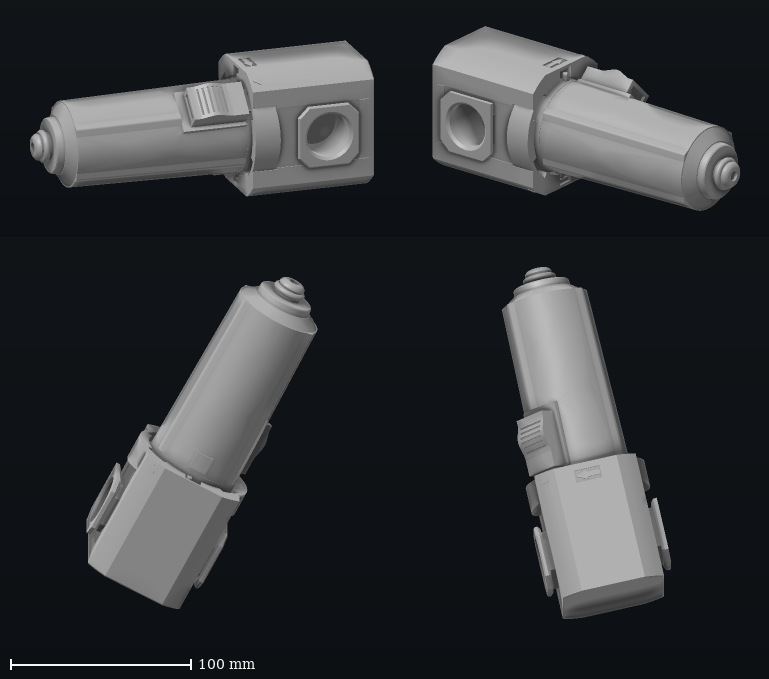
import cadquery as cq
import math


COVER_HALF_WIDTH = 28.8
COVER_HALF_HEIGHT = 36.0
COVER_CORNER_RADIUS = 40.2
COVER_LENGTH = 71.5
COVER_WALL = 1.7
COVER_BACK_CHAMFER = 0.8
CUTOUT_HALF_HEIGHT = 17.5
CUTOUT_END = 62.7
SLIT_END = 68.0
SLIT_WIDTH = 0.5
HEAD_PAD_X = 28.2

SKIRT_RADIUS = 33.8
SKIRT_HALF_HEIGHT = 18.5
SKIRT_LENGTH = 14.7
SKIRT_INNER_LENGTH = 13.3

BADGE_LENGTH = 14.7
BADGE_WIDTH = 6.9
BADGE_Y = 7.0
BADGE_DEPTH = 0.8
ARROW_LENGTH = 13.7
ARROW_HEAD_LENGTH = 6.5
ARROW_HEAD_HALF_WIDTH = 2.7
ARROW_SHAFT_HALF_WIDTH = 1.3
MARKER_WIDTH = 5.1
MARKER_BASE_Y = 6.1
MARKER_TIP_Y = 2.0
MARKER_HEIGHT = 0.4
MARKER_ANGLE = 54

PORT_Y = 42.7
PORT_RADIUS = 12.5
PORT_DEPTH = 25.7
PORT_CHAMFER = 1.5
FLANGE_FACE_X = 35.0
FLANGE_HALF_SIZE = 17.7
FLANGE_CORNER = 6.0
FLANGE_THICKNESS = 3.6
FLANGE_BACK_BEVEL = 1.5
FLANGE_OUTER_BEVEL = 0.8
NECK_HALF_SIZE = 14.9
NECK_CORNER = 6.3

MOUTH_RADIUS = 28.0
MOUTH_DEPTH = 5.7
POCKET_RADIUS = 31.3
POCKET_START_ANGLE = 23
POCKET_END_ANGLE = 54
NOTCH_HALF_WIDTH = 5.0
NOTCH_TOP = 32.5
NOTCH_DEPTH = 3.8
NOTCH_STEP_TOP = 34.3
NOTCH_STEP_DEPTH = 2.0

COLLAR_RADIUS = 26.1
BOWL_START_Y = -2.1
BOWL_END_Y = -100.9
BOWL_START_RADIUS = 26.0
BOWL_END_RADIUS = 24.2
SIDE_PANEL_ANGLE = 26
TOP_PANEL_ANGLE = 44
CORNER_RISE = 1.5
CORNER_FILLET = 1.5
CONE_START_RADIUS = 23.5
CONE_END_RADIUS = 16.8
CONE_END_Y = -105.8
TIP_START_RADIUS = 16.2
TIP_END_RADIUS = 15.6
TIP_CHAMFER = 0.5
BOWL_TIP_Y = -110.2
KEY_X = 2.3
KEY_WIDTH = 2.7
KEY_TOP = 30.9
KEY_THICKNESS = 2.9
RIB_HALF_WIDTH = 5.0
RIB_RADIUS = 26.7
RIB_START_Y = -4.2
RIB_END_Y = -14.3

BUTTON_ANGLE = 45
SEAT_X = 24.6
SEAT_HALF_WIDTH = 12.4
SEAT_HEIGHT = 2.7
SEAT_END_Y = -39.5
BUTTON_HALF_WIDTH = 10.1
BUTTON_TOP = 33.8
BUTTON_START_Y = -2.7
BUTTON_END_Y = -34.7
HUMP_TOP = 36.6
HUMP_START_Y = -11.8
HUMP_END_Y = -32.5
HUMP_STEPS = 8
GROOVE_COUNT = 6
GROOVE_PITCH = 2.9
GROOVE_WIDTH = 1.1
GROOVE_DEPTH = 1.0
GROOVE_HALF_LENGTH = 8.0
TONGUE_TOP = 30.5
TONGUE_HALF_WIDTH = 6.9
WINDOW_X = 29.7
WINDOW_HEIGHT = 3.8
WINDOW_LENGTH = 14.9
WINDOW_DEPTH = 2.0

DRAIN_END_Y = -119.2
DRAIN_STEM_RADIUS = 7.8
DRAIN_BEAD_RADIUS = 9.3
DRAIN_BEAD_START_Y = -111.8
DRAIN_BEAD_END_Y = -115.2
DRAIN_LIP_RADIUS = 7.6
DRAIN_LIP_Y = -116.5
DRAIN_DOME_RADIUS = 6.5
DRAIN_DOME_Y = -118.5
DRAIN_GROOVE_RADIUS = 7.0
DRAIN_END_RADIUS = 5.0
DRAIN_HOLE_RADIUS = 2.9
DRAIN_HOLE_DEPTH = 2.0

SIDES = (-1, 1)


def polar(radius, degrees):
    """Point at a distance and an angle from the origin of a sketch."""
    angle = math.radians(degrees)
    return (radius * math.cos(angle), radius * math.sin(angle))


def box(x_range, y_range, z_range):
    """Box between two limits along each axis."""
    sizes = [high - low for low, high in (x_range, y_range, z_range)]
    return cq.Workplane("XY").box(*sizes, centered=False).translate((x_range[0], y_range[0], z_range[0]))


def cylinder_y(radius, y_low, y_high):
    """Cylinder on the bowl axis."""
    return cq.Workplane("XZ", origin=(0, y_high, 0)).circle(radius).extrude(y_high - y_low)


def half_turn(body):
    """Copy turned by 180 degrees about the bowl axis."""
    return body.rotate((0, 0, 0), (0, 1, 0), 180)


def swing(body, angle):
    """Turn a body about the bowl axis from +X towards +Z."""
    return body.rotate((0, 0, 0), (0, 1, 0), -angle)


def rounded_block(inset, y_high):
    """Rectangular block whose corners follow a cylinder on the bowl axis."""
    half_width = COVER_HALF_WIDTH - inset
    half_height = COVER_HALF_HEIGHT - inset
    block = box((-half_width, half_width), (0, y_high), (-half_height, half_height))
    return block.intersect(cylinder_y(COVER_CORNER_RADIUS - inset, 0, y_high))


def skirt_block():
    """Part of the skirt cylinder between the cutout edges, with sloping back faces."""
    outline = [(0, 0), (SKIRT_RADIUS, 0), (SKIRT_RADIUS, SKIRT_LENGTH)]
    outline += [(COVER_HALF_WIDTH, SKIRT_INNER_LENGTH), (0, SKIRT_INNER_LENGTH)]
    wedge = cq.Workplane("XY").polyline(outline).close().extrude(SKIRT_HALF_HEIGHT, both=True)
    wedge = wedge.union(wedge.mirror("YZ"))
    return wedge.intersect(cylinder_y(SKIRT_RADIUS, 0, SKIRT_LENGTH))


def octagon(half_size, corner, start_x, length):
    """Square prism along X about the port axis, with its four corner edges cut off."""
    prism = cq.Workplane("YZ", origin=(start_x, PORT_Y, 0)).rect(2 * half_size, 2 * half_size).extrude(length)
    return prism.edges("|X").chamfer(corner)



def arrow_badge():
    """Pocket on the top face, less the flow arrow that stays standing in it."""
    floor = cq.Workplane("XY", origin=(0, BADGE_Y, COVER_HALF_HEIGHT - BADGE_DEPTH))
    tip_x = ARROW_LENGTH / 2
    barb_x = tip_x - ARROW_HEAD_LENGTH
    upper = [(-tip_x, ARROW_SHAFT_HALF_WIDTH), (barb_x, ARROW_SHAFT_HALF_WIDTH)]
    upper.append((barb_x, ARROW_HEAD_HALF_WIDTH))
    lower = [(x, -y) for x, y in reversed(upper)]
    arrow = floor.polyline(upper + [(tip_x, 0)] + lower).close().extrude(BADGE_DEPTH)
    return floor.rect(BADGE_LENGTH, BADGE_WIDTH).extrude(BADGE_DEPTH).cut(arrow)


def corner_marker():
    """Raised triangle on the rounded corner, pointing at the bowl."""
    half = MARKER_WIDTH / 2
    triangle = [(MARKER_BASE_Y, -half), (MARKER_BASE_Y, half), (MARKER_TIP_Y, 0)]
    base_x = COVER_CORNER_RADIUS - COVER_WALL / 2
    marker = cq.Workplane("YZ", origin=(base_x, 0, 0)).polyline(triangle).close()
    return swing(marker.extrude(COVER_WALL / 2 + MARKER_HEIGHT), MARKER_ANGLE)


def make_cover():
    cover = rounded_block(0, COVER_LENGTH).faces(">Y").edges().chamfer(COVER_BACK_CHAMFER)
    cover = cover.cut(rounded_block(COVER_WALL, COVER_LENGTH - COVER_WALL))
    full_width = (-COVER_HALF_WIDTH, COVER_HALF_WIDTH)
    cover = cover.cut(box(full_width, (0, CUTOUT_END), (-CUTOUT_HALF_HEIGHT, CUTOUT_HALF_HEIGHT)))
    cover = cover.cut(box(full_width, (0, SKIRT_LENGTH), (-SKIRT_HALF_HEIGHT, SKIRT_HALF_HEIGHT)))
    for side in SIDES:
        slit_z = side * (CUTOUT_HALF_HEIGHT - SLIT_WIDTH / 2)
        slit_range = (slit_z - SLIT_WIDTH / 2, slit_z + SLIT_WIDTH / 2)
        cover = cover.cut(box(full_width, (CUTOUT_END, SLIT_END), slit_range))
    marker = corner_marker()
    return cover.union(marker).union(half_turn(marker)).cut(arrow_badge())



def left_flange():
    """Flange on the -X side; its upper corner towards the mouth stays square."""
    flange = cq.Workplane("YZ", origin=(-FLANGE_FACE_X, PORT_Y, 0))
    flange = flange.rect(2 * FLANGE_HALF_SIZE, 2 * FLANGE_HALF_SIZE).extrude(FLANGE_THICKNESS)
    flange = flange.edges("|X").edges("<Z or >Y").chamfer(FLANGE_CORNER)
    return flange.faces(">X").edges().chamfer(FLANGE_BACK_BEVEL)


def right_flange():
    """Flange on the +X side, with all four corners cut off and both rims bevelled."""
    flange = octagon(FLANGE_HALF_SIZE, FLANGE_CORNER, FLANGE_FACE_X - FLANGE_THICKNESS, FLANGE_THICKNESS)
    flange = flange.faces("<X").edges().chamfer(FLANGE_BACK_BEVEL)
    return flange.faces(">X").edges().chamfer(FLANGE_OUTER_BEVEL)


def port_bore():
    """Blind port on the -X side with a chamfered entry."""
    floor_x = PORT_DEPTH - FLANGE_FACE_X
    profile = [(floor_x, 0), (floor_x, PORT_RADIUS), (PORT_CHAMFER - FLANGE_FACE_X, PORT_RADIUS)]
    profile += [(-FLANGE_FACE_X, PORT_RADIUS + PORT_CHAMFER), (-FLANGE_FACE_X, 0)]
    bore = cq.Workplane("XY").polyline(profile).close().revolve(360, (0, 0, 0), (1, 0, 0))
    return bore.translate((0, PORT_Y, 0))


def sector(radius, start_angle, end_angle):
    """Pie slice of the mouth recess between two angles from +X."""
    middle_angle = (start_angle + end_angle) / 2
    points = [polar(radius, angle) for angle in (start_angle, middle_angle, end_angle)]
    outline = cq.Workplane("XZ", origin=(0, MOUTH_DEPTH, 0)).lineTo(*points[0])
    return outline.threePointArc(points[1], points[2]).close().extrude(MOUTH_DEPTH)


def mouth_recess():
    """Round recess for the bowl collar with four bayonet pockets and two stepped notches."""
    recess = cylinder_y(MOUTH_RADIUS, 0, MOUTH_DEPTH)
    pocket = sector(POCKET_RADIUS, POCKET_START_ANGLE, POCKET_END_ANGLE)
    for quadrant_pocket in (pocket, pocket.mirror("YZ")):
        recess = recess.union(quadrant_pocket).union(half_turn(quadrant_pocket))
    notch_width = (-NOTCH_HALF_WIDTH, NOTCH_HALF_WIDTH)
    notch = box(notch_width, (0, NOTCH_DEPTH), (0, NOTCH_TOP))
    notch = notch.union(box(notch_width, (0, NOTCH_STEP_DEPTH), (0, NOTCH_STEP_TOP)))
    return recess.union(notch).union(half_turn(notch))


def make_head():
    head = rounded_block(COVER_WALL, COVER_LENGTH - COVER_WALL)
    pad_height = (-CUTOUT_HALF_HEIGHT, CUTOUT_HALF_HEIGHT)
    head = head.union(box((-HEAD_PAD_X, HEAD_PAD_X), (0, CUTOUT_END), pad_height))
    head = head.union(skirt_block())
    neck_reach = FLANGE_FACE_X - FLANGE_THICKNESS
    head = head.union(octagon(NECK_HALF_SIZE, NECK_CORNER, -neck_reach, 2 * neck_reach))
    head = head.union(left_flange()).union(right_flange())
    bore = port_bore()
    return head.cut(bore).cut(bore.mirror("YZ")).cut(mouth_recess())



def panel_section(workplane, radius):
    """Circle whose four corners rise to a blunt peak between the side and the top and bottom panels."""
    corner_angle = (SIDE_PANEL_ANGLE + TOP_PANEL_ANGLE) / 2
    section = workplane.moveTo(*polar(radius, -SIDE_PANEL_ANGLE))
    for middle in (0, 90, 180, 270):
        on_side = middle % 180 == 0
        half_angle = SIDE_PANEL_ANGLE if on_side else 90 - TOP_PANEL_ANGLE
        half_corner = corner_angle if on_side else 90 - corner_angle
        section = section.threePointArc(polar(radius, middle), polar(radius, middle + half_angle))
        section = section.lineTo(*polar(radius + CORNER_RISE, middle + half_corner))
        if middle != 270:
            next_half_angle = 90 - TOP_PANEL_ANGLE if on_side else SIDE_PANEL_ANGLE
            section = section.lineTo(*polar(radius, middle + 90 - next_half_angle))
    return section.close()


def peak_edges(barrel):
    """Long edges of the barrel that lie farthest from its axis."""
    def distance(edge):
        center = edge.Center()
        return math.hypot(center.x, center.z)

    middle_radius = (BOWL_START_RADIUS + BOWL_END_RADIUS + CORNER_RISE) / 2
    long_edges = [edge for edge in barrel.edges().vals() if edge.Length() > (BOWL_START_Y - BOWL_END_Y) / 2]
    return [edge for edge in long_edges if distance(edge) > middle_radius]


def bowl_barrel():
    """Tapered barrel lofted between two panelled sections, with its corner peaks rounded."""
    section = panel_section(cq.Workplane("XZ", origin=(0, BOWL_START_Y, 0)), BOWL_START_RADIUS)
    section = section.workplane(offset=BOWL_START_Y - BOWL_END_Y)
    barrel = panel_section(section, BOWL_END_RADIUS).loft(ruled=True)
    return barrel.newObject(peak_edges(barrel)).fillet(CORNER_FILLET)


def bowl_nose():
    """Cone and tapered tip below the barrel."""
    profile = [(0, BOWL_END_Y), (CONE_START_RADIUS, BOWL_END_Y), (CONE_END_RADIUS, CONE_END_Y)]
    profile += [(TIP_START_RADIUS, CONE_END_Y), (TIP_END_RADIUS, BOWL_TIP_Y + TIP_CHAMFER)]
    profile += [(TIP_END_RADIUS - TIP_CHAMFER, BOWL_TIP_Y), (0, BOWL_TIP_Y)]
    return cq.Workplane("XY").polyline(profile).close().revolve(360, (0, 0, 0), (0, 1, 0))


def bayonet_key():
    """Round-topped key that stands on the collar inside a notch of the head."""
    key_radius = KEY_WIDTH / 2
    left_x = KEY_X - key_radius
    right_x = KEY_X + key_radius
    shoulder_z = KEY_TOP - key_radius
    key = cq.Workplane("XZ", origin=(0, KEY_THICKNESS, 0)).moveTo(left_x, 0).lineTo(right_x, 0)
    key = key.lineTo(right_x, shoulder_z).threePointArc((KEY_X, KEY_TOP), (left_x, shoulder_z))
    return key.close().extrude(KEY_THICKNESS)


def make_bowl():
    bowl = bowl_barrel().union(cylinder_y(COLLAR_RADIUS, BOWL_START_Y, MOUTH_DEPTH))
    bowl = bowl.union(bowl_nose())
    key = bayonet_key()
    bowl = bowl.union(key).union(half_turn(key))
    rib = box((-RIB_HALF_WIDTH, RIB_HALF_WIDTH), (RIB_END_Y, RIB_START_Y), (-RIB_RADIUS, 0))
    bowl = bowl.union(rib.intersect(cylinder_y(RIB_RADIUS, RIB_END_Y, RIB_START_Y)))
    seat_length = (SEAT_END_Y, BUTTON_START_Y)
    seat_width = (-SEAT_HALF_WIDTH, SEAT_HALF_WIDTH)
    seat = box((SEAT_X - SEAT_HEIGHT, SEAT_X), seat_length, seat_width)
    bowl = bowl.union(swing(seat, BUTTON_ANGLE))
    clearance = box((SEAT_X, BUTTON_TOP), (SEAT_END_Y, 0), seat_width)
    return bowl.cut(swing(clearance, BUTTON_ANGLE))



def hump_height(y):
    """Height of the thumb hump: one smooth cosine wave over its length."""
    phase = (y - HUMP_START_Y) / (HUMP_END_Y - HUMP_START_Y)
    return BUTTON_TOP + (HUMP_TOP - BUTTON_TOP) * (1 - math.cos(2 * math.pi * phase)) / 2


def make_button():
    hump_middle_y = (HUMP_START_Y + HUMP_END_Y) / 2
    hump_step = (HUMP_END_Y - HUMP_START_Y) / HUMP_STEPS
    hump_ys = [HUMP_START_Y + hump_step * step for step in range(1, HUMP_STEPS + 1)]
    hump = [(hump_height(y), y) for y in hump_ys]
    outline = cq.Workplane("XY").moveTo(SEAT_X, BUTTON_START_Y).lineTo(BUTTON_TOP, BUTTON_START_Y)
    outline = outline.lineTo(BUTTON_TOP, HUMP_START_Y)
    outline = outline.spline(hump, tangents=[(0, -1), (0, -1)], includeCurrent=True)
    outline = outline.lineTo(BUTTON_TOP, BUTTON_END_Y).lineTo(SEAT_X, BUTTON_END_Y).close()
    button = outline.extrude(BUTTON_HALF_WIDTH, both=True)
    for index in range(GROOVE_COUNT):
        y = hump_middle_y + (index - (GROOVE_COUNT - 1) / 2) * GROOVE_PITCH
        groove_range = (y - GROOVE_WIDTH / 2, y + GROOVE_WIDTH / 2)
        floor_x = hump_height(y) - GROOVE_DEPTH
        button = button.cut(box((floor_x, HUMP_TOP), groove_range, (-GROOVE_HALF_LENGTH, GROOVE_HALF_LENGTH)))
    tongue_width = (-TONGUE_HALF_WIDTH, TONGUE_HALF_WIDTH)
    button = button.union(box((SEAT_X, TONGUE_TOP), (BUTTON_START_Y, 0), tongue_width))
    window = box(
        (WINDOW_X - WINDOW_HEIGHT / 2, WINDOW_X + WINDOW_HEIGHT / 2),
        (BUTTON_END_Y, BUTTON_END_Y + WINDOW_DEPTH),
        (-WINDOW_LENGTH / 2, WINDOW_LENGTH / 2),
    )
    return swing(button.cut(window), BUTTON_ANGLE)



def make_drain():
    """Turned drain cock: stem, round bead, groove, domed lip and a blind outlet hole."""
    bead_middle_y = (DRAIN_BEAD_START_Y + DRAIN_BEAD_END_Y) / 2
    bead_tip = (DRAIN_BEAD_RADIUS, bead_middle_y)
    dome_middle = (DRAIN_DOME_RADIUS, DRAIN_DOME_Y)
    hole_y = DRAIN_END_Y + DRAIN_HOLE_DEPTH
    profile = cq.Workplane("XY").moveTo(0, BOWL_TIP_Y).lineTo(DRAIN_STEM_RADIUS, BOWL_TIP_Y)
    profile = profile.lineTo(DRAIN_STEM_RADIUS, DRAIN_BEAD_START_Y)
    profile = profile.threePointArc(bead_tip, (DRAIN_GROOVE_RADIUS, DRAIN_BEAD_END_Y))
    profile = profile.lineTo(DRAIN_LIP_RADIUS, DRAIN_LIP_Y)
    profile = profile.threePointArc(dome_middle, (DRAIN_END_RADIUS, DRAIN_END_Y))
    profile = profile.lineTo(DRAIN_HOLE_RADIUS, DRAIN_END_Y).lineTo(DRAIN_HOLE_RADIUS, hole_y)
    return profile.lineTo(0, hole_y).close().revolve(360, (0, 0, 0), (0, 1, 0))


cover = make_cover()
head = make_head()
bowl = make_bowl()
button = make_button()
drain = make_drain()

bodies = [cover, head, bowl, button, drain]
result = cq.Compound.makeCompound([body.solids().val() for body in bodies])